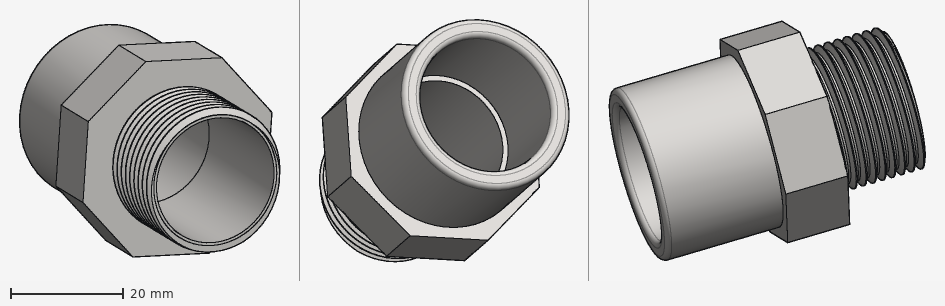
import cadquery as cq
import math

TOTAL_LENGTH = 50.0
COLLAR_START = 22.0
COLLAR_END = 33.7
THREAD_LENGTH = TOTAL_LENGTH - COLLAR_END

SOCKET_OUTER_DIAMETER = 32.0
SOCKET_BORE_DIAMETER = 25.0
SOCKET_DEPTH = COLLAR_START
RIM_FILLET = 1.0
THROUGH_BORE_DIAMETER = 23.0

COLLAR_SIDES = 8
COLLAR_ACROSS_FLATS = 36.0
COLLAR_TILT = 4.0
COLLAR_CORNER_DIAMETER = COLLAR_ACROSS_FLATS / math.cos(math.pi / COLLAR_SIDES)

CORE_DIAMETER = 24.05
CREST_DIAMETER = 26.45
PITCH = 25.4 / 14
RIDGE_BASE_WIDTH = 1.4
RIDGE_CREST_WIDTH = 0.2
FIRST_CREST_OFFSET = 0.4
RUN_OUT_TURNS = 1


def cylinder_along_x(diameter, start, end):
    return cq.Workplane("YZ", origin=(start, 0, 0)).circle(diameter / 2).extrude(end - start)


def make_collar():
    return (
        cq.Workplane("YZ", origin=(COLLAR_START, 0, 0))
        .transformed(rotate=(0, 0, 180 / COLLAR_SIDES - COLLAR_TILT))
        .polygon(COLLAR_SIDES, COLLAR_CORNER_DIAMETER)
        .extrude(COLLAR_END - COLLAR_START)
    )


def make_fitting():
    socket = (
        cylinder_along_x(SOCKET_OUTER_DIAMETER, 0, COLLAR_START)
        .cut(cylinder_along_x(SOCKET_BORE_DIAMETER, 0, SOCKET_DEPTH))
        .faces("<X").edges().fillet(RIM_FILLET)
    )
    core = cylinder_along_x(CORE_DIAMETER, COLLAR_END, TOTAL_LENGTH)
    bore = cylinder_along_x(THROUGH_BORE_DIAMETER, COLLAR_START, TOTAL_LENGTH)
    return make_collar().union(core).cut(bore).union(socket)


def make_thread():
    core_radius = CORE_DIAMETER / 2
    crest_radius = CREST_DIAMETER / 2
    base_half_width = RIDGE_BASE_WIDTH / 2
    crest_half_width = RIDGE_CREST_WIDTH / 2

    turns = math.ceil(THREAD_LENGTH / PITCH) + 2 * RUN_OUT_TURNS
    path = cq.Workplane(obj=cq.Wire.makeHelix(PITCH, turns * PITCH, core_radius))
    ridge = (
        cq.Workplane("XZ")
        .polyline([
            (core_radius, -base_half_width),
            (crest_radius, -crest_half_width),
            (crest_radius, crest_half_width),
            (core_radius, base_half_width),
        ])
        .close()
        .sweep(path, isFrenet=True)
    )

    ridge_start = COLLAR_END + FIRST_CREST_OFFSET - RUN_OUT_TURNS * PITCH
    axis_along_x = cq.Plane(origin=(ridge_start, 0, 0), xDir=(0, 1, 0), normal=(1, 0, 0))
    ridge = cq.Workplane(ridge.val().moved(cq.Location(axis_along_x)))

    threaded_stretch = cylinder_along_x(SOCKET_OUTER_DIAMETER, COLLAR_END, TOTAL_LENGTH)
    return ridge.intersect(threaded_stretch)


fitting = make_fitting()
thread = make_thread()
result = cq.Compound.makeCompound([*fitting.vals(), *thread.vals()])